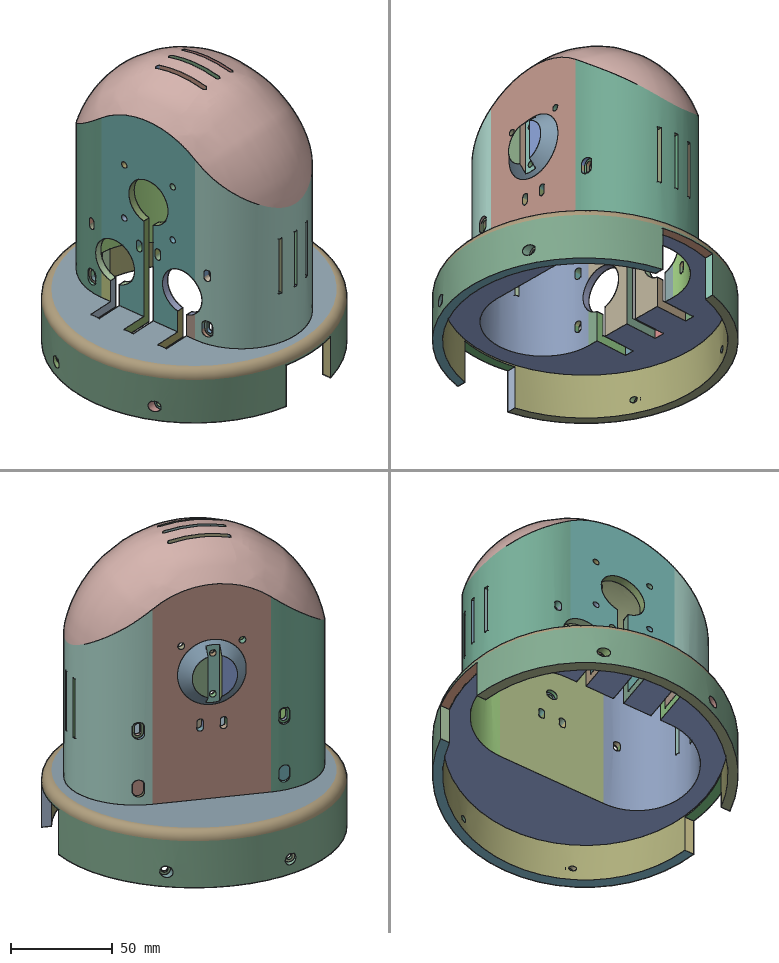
import cadquery as cq
import math

base_radius = 75.0
base_height = 30.0
base_edge_fillet = 5.0
plate_thickness = 5.0
skirt_wall = 5.0
skirt_opening_width = 33.7
skirt_opening_height = 24.0

tower_half_depth = 35.0
flat_half_width = 30.0
tower_half_width = flat_half_width + tower_half_depth
tower_wall = 4.0
total_height = 161.3
dome_radius = 66.0
dome_crown_radius = 45.5
dome_center_z = total_height - dome_radius

screw_diameter = 3.4
head_diameter = 6.0
boss_head_depth = 2.0
motor_head_depth = 2.5
slot_stretch = 3.0

motor_bore_diameter = 25.0
motor_screw_offset = 15.5
upper_motor_z = 97.8
lower_motor_x = 21.5
lower_motor_z = 54.4
upper_shaft_slot_width = 6.0
lower_shaft_slot_width = 5.5
shaft_slot_reach = 50.2

boss_height = 6.0
boss_outer_radius = 11.5
boss_base_radius = boss_outer_radius + boss_height
boss_groove_width = 7.0
boss_groove_depth = 4.0
boss_screw_offset = 11.0

vent_length = 32.0
vent_pitch = 10.0
top_vent_width = 2.5
side_vent_width = 2.0
side_vent_z = 74.5

skirt_hole_x = 31.5
skirt_hole_z = 8.0
skirt_head_depth = 3.5


def tower_solid(inset):
    """Obround column under a dome, shrunk by inset on all outer faces."""
    half_depth = tower_half_depth - inset
    radius = dome_radius - inset
    crown = dome_crown_radius - inset
    edge_radius = radius - crown + math.sqrt(crown**2 - half_depth**2)
    column = cq.Workplane("XY").slot2D(2 * (tower_half_width - inset), 2 * half_depth).extrude(total_height)
    dome = (
        cq.Workplane("XY")
        .moveTo(0, -half_depth)
        .lineTo(edge_radius, -half_depth)
        .threePointArc((radius, 0), (edge_radius, half_depth))
        .lineTo(0, half_depth)
        .close()
        .revolve(360, (0, 0, 0), (0, 1, 0))
        .translate((0, 0, dome_center_z))
    )
    below_dome = cq.Workplane("XY").box(
        2 * tower_half_width, 2 * tower_half_depth, dome_center_z, centered=(True, True, False)
    )
    return column.intersect(dome.union(below_dome))


def hole_along_y(x, z, y_start, y_end, diameter, stretch=0):
    """Cutter along Y: round, or stretched along Z into an upright slot."""
    sketch = cq.Workplane("XZ", origin=(x, y_start, z))
    if stretch:
        sketch = sketch.slot2D(diameter + stretch, diameter, 90)
    else:
        sketch = sketch.circle(diameter / 2)
    return sketch.extrude(y_start - y_end)


def box_between(x, y, z):
    """Box from three (low, high) pairs."""
    size = [high - low for low, high in (x, y, z)]
    return cq.Workplane("XY").box(*size, centered=False).translate((x[0], y[0], z[0]))


plate_bottom = base_height - plate_thickness
base = cq.Workplane("XY").circle(base_radius).extrude(base_height)
base = base.faces(">Z").edges().fillet(base_edge_fillet)
skirt_room = cq.Workplane("XY").circle(base_radius - skirt_wall).extrude(plate_bottom)
skirt_opening = cq.Workplane("XY").box(
    2 * base_radius, skirt_opening_width, skirt_opening_height, centered=(True, True, False)
)
base = base.cut(skirt_room).cut(skirt_opening)

space_under_plate = cq.Workplane("XY").circle(base_radius).extrude(plate_bottom)
body = base.union(tower_solid(0).cut(space_under_plate))

boss_end_y = tower_half_depth + boss_height
boss = (
    cq.Workplane("XZ", origin=(0, boss_end_y, upper_motor_z))
    .circle(boss_outer_radius)
    .workplane(offset=boss_height)
    .circle(boss_base_radius)
    .loft()
)
boss_groove = box_between(
    (-boss_groove_width / 2, boss_groove_width / 2),
    (boss_end_y - boss_groove_depth, boss_end_y),
    (upper_motor_z - boss_base_radius, upper_motor_z + boss_base_radius),
)
body = body.union(boss.cut(boss_groove)).cut(tower_solid(tower_wall))

front_y = -tower_half_depth
rear_y = tower_half_depth
inner_rear_y = rear_y - tower_wall

for side in (-1, 1):
    z = upper_motor_z + side * boss_screw_offset
    body = body.cut(hole_along_y(0, z, inner_rear_y, boss_end_y, screw_diameter))
    body = body.cut(hole_along_y(0, z, inner_rear_y, inner_rear_y + boss_head_depth, head_diameter))

motor_mounts = (
    (0, upper_motor_z, upper_shaft_slot_width),
    (-lower_motor_x, lower_motor_z, lower_shaft_slot_width),
    (lower_motor_x, lower_motor_z, lower_shaft_slot_width),
)
for x, z, slot_width in motor_mounts:
    slot_x = (x - slot_width / 2, x + slot_width / 2)
    body = body.cut(hole_along_y(x, z, front_y, 0, motor_bore_diameter))
    body = body.cut(box_between(slot_x, (front_y, 0), (plate_bottom, z)))
    body = body.cut(box_between(slot_x, (-shaft_slot_reach, 0), (plate_bottom, base_height)))

upper_screw_z = upper_motor_z + motor_screw_offset
lower_screw_z = upper_motor_z - motor_screw_offset
upper_slot_z = lower_motor_z + motor_screw_offset
lower_slot_z = lower_motor_z - motor_screw_offset
front_seat_y = front_y + motor_head_depth
rear_seat_y = rear_y - motor_head_depth
for side in (-1, 1):
    x = side * motor_screw_offset
    body = body.cut(hole_along_y(x, upper_screw_z, front_y, rear_y, screw_diameter))
    body = body.cut(hole_along_y(x, lower_screw_z, front_y, 0, screw_diameter))

    inner_x = side * (lower_motor_x - motor_screw_offset)
    outer_x = side * (lower_motor_x + motor_screw_offset)
    for x in (inner_x, outer_x):
        body = body.cut(hole_along_y(x, upper_slot_z, front_y, rear_y, screw_diameter, slot_stretch))
    body = body.cut(hole_along_y(outer_x, lower_slot_z, front_y, 0, screw_diameter, slot_stretch))
    body = body.cut(hole_along_y(outer_x, lower_slot_z, front_y, front_seat_y, head_diameter, slot_stretch))
    for z in (lower_slot_z, upper_slot_z):
        body = body.cut(hole_along_y(outer_x, z, rear_seat_y, rear_y, head_diameter, slot_stretch))

for row in (-1, 0, 1):
    y = row * vent_pitch
    top_vent = (
        cq.Workplane("XY", origin=(0, y, dome_center_z))
        .slot2D(vent_length, top_vent_width)
        .extrude(dome_radius)
    )
    side_vent = cq.Workplane("XY", origin=(0, y, side_vent_z)).box(
        2 * tower_half_width, side_vent_width, vent_length
    )
    body = body.cut(top_vent).cut(side_vent)

skirt_hole_y = math.sqrt(base_radius**2 - skirt_hole_x**2)
for x in (-skirt_hole_x, skirt_hole_x):
    body = body.cut(hole_along_y(x, skirt_hole_z, -base_radius, base_radius, screw_diameter))
    for side in (-1, 1):
        seat_y = side * (skirt_hole_y - skirt_head_depth)
        body = body.cut(hole_along_y(x, skirt_hole_z, seat_y, side * base_radius, head_diameter))

result = body